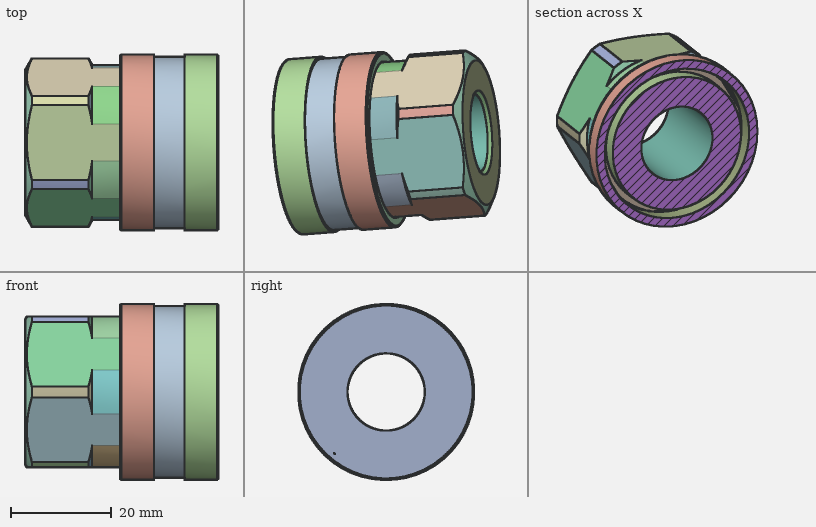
import cadquery as cq
import math

LENGTH = 38.4

ACROSS_FLATS = 30.02
CORNER_DIAMETER = 33.5
FACE_DIAMETER = 28.87
BEVEL_ANGLE = 30.0
NECK_START = 13.32
NECK_DIAMETER = 30.9
NECK_END = 19.43
CORE_DIAMETER = 27.9

COLLAR_START = 18.8
COLLAR_DIAMETER = 35.0
COLLAR_CHAMFER = 0.3
RECESS_DIAMETER = 31.2
RECESS_DEPTH = 7.68
GROOVE_START = 25.65
GROOVE_END = 31.67
GROOVE_DIAMETER = 34.2

BORE_DIAMETER = 15.3
BORE_MOUTH_DIAMETER = 16.8


def revolve_about_x(points):
    """Solid of revolution about X from an outline of (x, radius) points."""
    return cq.Workplane("XY").polyline(points).close().revolve(360, (0, 0, 0), (1, 0, 0))


def bevel_length(start_diameter, end_diameter):
    """Axial length of a corner bevel between two diameters."""
    return (end_diameter - start_diameter) / 2 * math.tan(math.radians(BEVEL_ANGLE))


def make_wrench_section():
    """Hexagon with flats facing +Z and -Z, trimmed by a bevelled round envelope."""
    across_corners = ACROSS_FLATS / math.cos(math.radians(30))
    hexagon = cq.Workplane("YZ").polygon(6, across_corners).extrude(NECK_END)
    corner_radius = CORNER_DIAMETER / 2
    neck_radius = NECK_DIAMETER / 2
    envelope = revolve_about_x([
        (0, 0),
        (0, FACE_DIAMETER / 2),
        (bevel_length(FACE_DIAMETER, CORNER_DIAMETER), corner_radius),
        (NECK_START - bevel_length(NECK_DIAMETER, CORNER_DIAMETER), corner_radius),
        (NECK_START, neck_radius),
        (NECK_END, neck_radius),
        (NECK_END, 0),
    ])
    return hexagon.intersect(envelope)


def make_collar():
    """Collar with chamfered ends, a shallow groove and a recess around its core."""
    collar_radius = COLLAR_DIAMETER / 2
    groove_radius = GROOVE_DIAMETER / 2
    recess_radius = RECESS_DIAMETER / 2
    recess_end = COLLAR_START + RECESS_DEPTH
    core_radius = CORE_DIAMETER / 2
    chamfered_radius = collar_radius - COLLAR_CHAMFER
    return revolve_about_x([
        (NECK_END, 0),
        (NECK_END, core_radius),
        (recess_end, core_radius),
        (recess_end, recess_radius),
        (COLLAR_START, recess_radius),
        (COLLAR_START, chamfered_radius),
        (COLLAR_START + COLLAR_CHAMFER, collar_radius),
        (GROOVE_START, collar_radius),
        (GROOVE_START, groove_radius),
        (GROOVE_END, groove_radius),
        (GROOVE_END, collar_radius),
        (LENGTH - COLLAR_CHAMFER, collar_radius),
        (LENGTH, chamfered_radius),
        (LENGTH, 0),
    ])


def make_bore():
    """Through bore with a 45 degree countersink at the front face."""
    bore_radius = BORE_DIAMETER / 2
    mouth_radius = BORE_MOUTH_DIAMETER / 2
    return revolve_about_x([
        (0, 0),
        (0, mouth_radius),
        (mouth_radius - bore_radius, bore_radius),
        (LENGTH, bore_radius),
        (LENGTH, 0),
    ])


result = make_wrench_section().union(make_collar()).cut(make_bore())